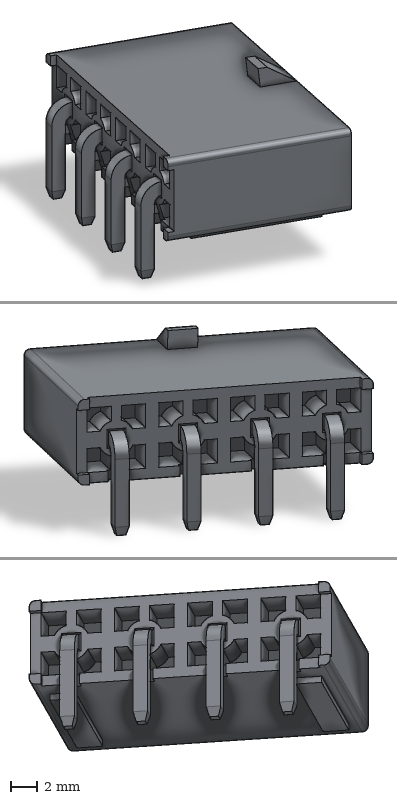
import cadquery as cq


overall_height = 12.28

body_width = 23.45
body_height = 6.8
body_length = 15.3
edge_radius = 0.5
post_width = 0.91
post_height = 0.84
face_recess = 0.5

contact_count = 4
pitch = 5.7

pocket_group_width = 4.66
pocket_group_height = body_height - 2 * post_height
pocket_depth = 3.0
upright_web = 0.8
level_web = 1.3
hub_radius = 1.45
hole_size = 1.5

relief_width = 1.32
relief_depth = 0.6

pin_size = 1.14
bend_inner_radius = 0.65
pin_reach_below = 3.93
tip_size = 0.7
tip_length = 0.74

latch_width = 2.4
latch_height = overall_height - body_height - pin_reach_below
latch_ramp_length = 2.48
latch_tip_y = 3.23
latch_root_y = 3.05

rib_width = 2.0
rib_height = 0.5
rib_side_gap = 1.14
rib_back_gap = 1.98
rib_length = 10.9

mid_z = body_height / 2
front_y = -body_length
face_y = front_y + face_recess
hole_taper_depth = (hole_size - pin_size) / 2
contact_xs = [(i - (contact_count - 1) / 2) * pitch for i in range(contact_count)]


def block(x_min, x_max, y_min, y_max, z_min, z_max):
    """Axis-aligned box given by its limits."""
    return cq.Workplane("XY").box(
        x_max - x_min, y_max - y_min, z_max - z_min, centered=False
    ).translate((x_min, y_min, z_min))


def centred_block(x, width, y_min, y_max, z, height):
    """Box centred on x and z."""
    return block(x - width / 2, x + width / 2, y_min, y_max, z - height / 2, z + height / 2)


def side_profile(x, width):
    """Workplane for a Y-Z outline to be extruded by width along +X, centred on x."""
    return cq.Workplane("YZ", origin=(x - width / 2, 0, 0))


def make_housing():
    """Block with rounded long edges and a recessed -Y face that leaves four corner posts."""
    housing = centred_block(0, body_width, front_y, 0, mid_z, body_height)
    housing = housing.edges("|Y").fillet(edge_radius)
    inner_width = body_width - 2 * post_width
    inner_height = body_height - 2 * post_height
    housing = housing.cut(centred_block(0, inner_width, front_y, face_y, mid_z, body_height))
    return housing.cut(centred_block(0, body_width, front_y, face_y, mid_z, inner_height))


def make_latch():
    """Ramped latch with an undercut stop face, flush with the +Y face."""
    top_z = body_height + latch_height
    outline = [
        (0, body_height),
        (-latch_ramp_length, top_z),
        (-latch_tip_y, top_z),
        (-latch_root_y, body_height),
    ]
    return side_profile(0, latch_width).polyline(outline).close().extrude(latch_width)


def make_rib(side):
    """Standoff rib under the housing; side is -1 or +1 along X."""
    x = side * (body_width / 2 - rib_side_gap - rib_width / 2)
    y_max = -rib_back_gap
    return centred_block(x, rib_width, y_max - rib_length, y_max, 0, 2 * rib_height)


def make_pockets(x):
    """Four pockets around a contact, split by a cross of webs with a round hub."""
    back_y = face_y + pocket_depth
    pockets = centred_block(x, pocket_group_width, face_y, back_y, mid_z, pocket_group_height)
    pockets = pockets.cut(centred_block(x, upright_web, face_y, back_y, mid_z, pocket_group_height))
    pockets = pockets.cut(centred_block(x, pocket_group_width, face_y, back_y, mid_z, level_web))
    hub = cq.Workplane("XZ", origin=(x, back_y, mid_z)).circle(hub_radius).extrude(pocket_depth)
    return pockets.cut(hub)


def make_hole(x):
    """Square funnel that narrows from the -Y face onto the pin."""
    return (
        cq.Workplane("XZ", origin=(x, face_y, mid_z)).rect(hole_size, hole_size)
        .workplane(offset=-hole_taper_depth).rect(pin_size, pin_size).loft(ruled=True)
    )


def make_relief(x):
    """Wedge under the pin, deepening from the hub down to the underside."""
    outline = [(face_y, mid_z - hub_radius), (face_y, 0), (face_y + relief_depth, 0)]
    return side_profile(x, relief_width).polyline(outline).close().extrude(relief_width)


def make_pin(x):
    """Square pin: rooted in the housing, bent down, with a tapered tip."""
    bend_outer_radius = bend_inner_radius + pin_size
    bend_y = front_y + bend_inner_radius
    bend_z = mid_z - pin_size / 2 - bend_inner_radius
    leg_y = front_y - pin_size / 2
    tip_z = tip_length - pin_reach_below

    root = centred_block(x, pin_size, bend_y, face_y + pocket_depth, mid_z, pin_size)
    ring = (
        side_profile(x, pin_size).center(bend_y, bend_z)
        .circle(bend_outer_radius).circle(bend_inner_radius).extrude(pin_size)
    )
    quadrant = block(
        x - pin_size, x + pin_size,
        bend_y - bend_outer_radius, bend_y,
        bend_z, bend_z + bend_outer_radius,
    )
    bend = ring.intersect(quadrant)
    leg = block(x - pin_size / 2, x + pin_size / 2, front_y - pin_size, front_y, tip_z, bend_z)
    tip = (
        cq.Workplane("XY", origin=(x, leg_y, tip_z)).rect(pin_size, pin_size)
        .workplane(offset=-tip_length).rect(tip_size, tip_size).loft(ruled=True)
    )
    return root.union(bend).union(leg).union(tip)


result = make_housing().union(make_latch())
for side in (-1, 1):
    result = result.union(make_rib(side))
for contact_x in contact_xs:
    result = result.cut(make_pockets(contact_x))
    result = result.cut(make_hole(contact_x))
    result = result.cut(make_relief(contact_x))
    result = result.union(make_pin(contact_x))